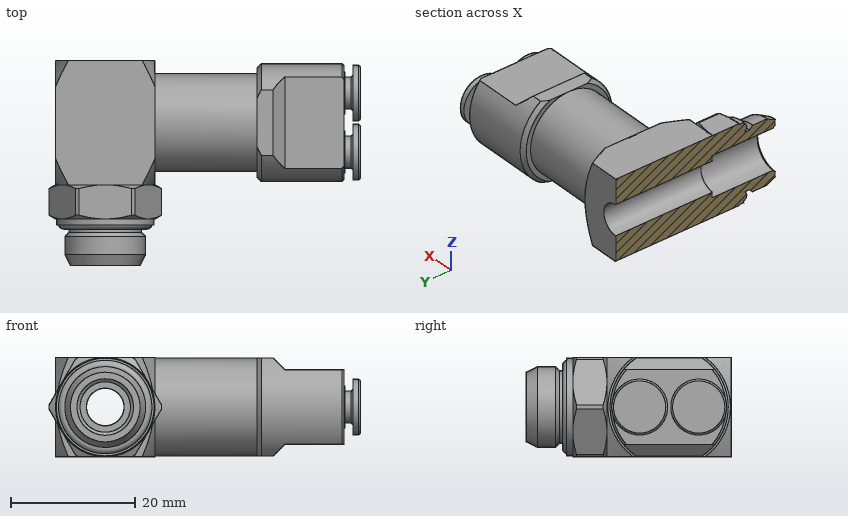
import cadquery as cq
import math


BLOCK_WIDTH = 16.0
BLOCK_LENGTH = 20.0
BLOCK_FACE_RADIUS = 9.85
BLOCK_CONE_ANGLE = 35.0

HEX_ACROSS_FLATS = 16.0
HEX_LENGTH = 5.5
HEX_CORNER_RADIUS = 9.05
HEX_CHAMFER_ANGLE = 30.0

COLLAR_RADIUS = 7.85
COLLAR_LENGTH = 1.0
SEAL_SECTION_RADIUS = 0.9
SEAL_CENTRE_RADIUS = 6.65
SEAL_PROTRUSION = 0.65

NECK_RADIUS = 5.85
NECK_LENGTH = 1.15
THREAD_RADIUS = 6.5
THREAD_RUN_OUT = THREAD_RADIUS - NECK_RADIUS
THREAD_LENGTH = 2.9
TIP_RADIUS = 5.6
TIP_LENGTH = 1.8

BORE_RADIUS = 3.0
COUNTERBORE_RADIUS = 4.05
MOUTH_CHAMFER = 0.5

TUBE_RADIUS = 7.9
TUBE_LENGTH = 16.4

HEAD_RADIUS = 9.5
HEAD_LENGTH = 14.0
HEAD_FRONT_CHAMFER = 0.7
HEAD_END_CHAMFER = 0.35
HEAD_BASE_HALF_HEIGHT = TUBE_RADIUS
HEAD_PORT_HALF_HEIGHT = 6.0
HEAD_BASE_LENGTH = 2.6

PORT_PITCH = 9.5
SEAT_RADIUS = 3.4
SEAT_LENGTH = 0.15
SLEEVE_RADIUS = 2.6
SLEEVE_FLARE = 0.25
FLANGE_RADIUS = 4.5
FLANGE_GAP = 1.4
FLANGE_LENGTH = 1.25
FLANGE_CHAMFER = 0.3

HEX_START = -BLOCK_LENGTH / 2
HEX_END = HEX_START - HEX_LENGTH
COLLAR_END = HEX_END - COLLAR_LENGTH
NECK_END = COLLAR_END - NECK_LENGTH
THREAD_START = NECK_END - THREAD_RUN_OUT
THREAD_END = THREAD_START - THREAD_LENGTH
TIP_END = THREAD_END - TIP_LENGTH
BLOCK_END = BLOCK_WIDTH / 2
HEAD_START = BLOCK_END + TUBE_LENGTH
HEAD_END = HEAD_START + HEAD_LENGTH


def revolve_about_y(points):
    """Revolve a closed outline of (radius, y) points about the Y axis."""
    return cq.Workplane("XY").polyline(points).close().revolve(360, (0, 0), (0, 1))


def revolve_about_x(points):
    """Revolve a closed outline of (x, radius) points about the X axis."""
    return cq.Workplane("XY").polyline(points).close().revolve(360, (0, 0), (1, 0))


def make_block():
    """Rectangular block whose eight corners are turned off by a cone at each X end."""
    block = cq.Workplane("XY").box(BLOCK_WIDTH, BLOCK_LENGTH, BLOCK_WIDTH)
    cone_rise = BLOCK_END * math.tan(math.radians(90 - BLOCK_CONE_ANGLE))
    turned = revolve_about_x([
        (-BLOCK_END, 0),
        (-BLOCK_END, BLOCK_FACE_RADIUS),
        (0, BLOCK_FACE_RADIUS + cone_rise),
        (BLOCK_END, BLOCK_FACE_RADIUS),
        (BLOCK_END, 0),
    ])
    return block.intersect(turned)


def make_hex():
    """Hexagon with flats facing +Z and -Z, turned corners and both ends chamfered."""
    flat_radius = HEX_ACROSS_FLATS / 2
    corner_diameter = HEX_ACROSS_FLATS / math.cos(math.radians(30))
    hexagon = (
        cq.Workplane("XZ", origin=(0, HEX_START, 0))
        .polygon(6, corner_diameter)
        .extrude(HEX_LENGTH)
    )
    chamfer = (HEX_CORNER_RADIUS - flat_radius) * math.tan(math.radians(HEX_CHAMFER_ANGLE))
    turned = revolve_about_y([
        (0, HEX_START),
        (flat_radius, HEX_START),
        (HEX_CORNER_RADIUS, HEX_START - chamfer),
        (HEX_CORNER_RADIUS, HEX_END + chamfer),
        (flat_radius, HEX_END),
        (0, HEX_END),
    ])
    return hexagon.intersect(turned)


def make_spigot():
    """Collar, neck and plain thread cylinder with a tapered tip."""
    return revolve_about_y([
        (0, HEX_END),
        (COLLAR_RADIUS, HEX_END),
        (COLLAR_RADIUS, COLLAR_END),
        (NECK_RADIUS, COLLAR_END),
        (NECK_RADIUS, NECK_END),
        (THREAD_RADIUS, THREAD_START),
        (THREAD_RADIUS, THREAD_END),
        (TIP_RADIUS, TIP_END),
        (0, TIP_END),
    ])


def make_seal():
    """O-ring partly sunk into the collar face."""
    seal_centre_y = COLLAR_END - SEAL_PROTRUSION + SEAL_SECTION_RADIUS
    return (
        cq.Workplane("XY")
        .center(SEAL_CENTRE_RADIUS, seal_centre_y)
        .circle(SEAL_SECTION_RADIUS)
        .revolve(360, (-SEAL_CENTRE_RADIUS, 0), (-SEAL_CENTRE_RADIUS, 1))
    )


def make_bore():
    """Bore open at both Y ends, widened through the spigot and hexagon."""
    return revolve_about_y([
        (0, BLOCK_LENGTH / 2),
        (BORE_RADIUS, BLOCK_LENGTH / 2),
        (BORE_RADIUS, HEX_START),
        (COUNTERBORE_RADIUS, HEX_START),
        (COUNTERBORE_RADIUS, TIP_END + MOUTH_CHAMFER),
        (COUNTERBORE_RADIUS + MOUTH_CHAMFER, TIP_END),
        (0, TIP_END),
    ])


def make_tube():
    """Round tube that joins block and head."""
    return revolve_about_x([
        (BLOCK_END, 0),
        (BLOCK_END, TUBE_RADIUS),
        (HEAD_START, TUBE_RADIUS),
        (HEAD_START, 0),
    ])


def make_head():
    """Round head flattened above and below, stepping down at 45 degrees to the ports."""
    turned = revolve_about_x([
        (HEAD_START, 0),
        (HEAD_START, HEAD_RADIUS - HEAD_FRONT_CHAMFER),
        (HEAD_START + HEAD_FRONT_CHAMFER, HEAD_RADIUS),
        (HEAD_END - HEAD_END_CHAMFER, HEAD_RADIUS),
        (HEAD_END, HEAD_RADIUS - HEAD_END_CHAMFER),
        (HEAD_END, 0),
    ])
    slope_start = HEAD_START + HEAD_BASE_LENGTH
    slope_end = slope_start + HEAD_BASE_HALF_HEIGHT - HEAD_PORT_HALF_HEIGHT
    upper_side = [
        (HEAD_START, HEAD_BASE_HALF_HEIGHT),
        (slope_start, HEAD_BASE_HALF_HEIGHT),
        (slope_end, HEAD_PORT_HALF_HEIGHT),
        (HEAD_END, HEAD_PORT_HALF_HEIGHT),
    ]
    lower_side = [(x, -z) for x, z in reversed(upper_side)]
    side_outline = (
        cq.Workplane("XZ")
        .polyline(upper_side + lower_side)
        .close()
        .extrude(HEAD_RADIUS, both=True)
    )
    return turned.intersect(side_outline)


def make_release_sleeve(port_y):
    """Seat, sleeve and flange of one push-in port."""
    seat_end = HEAD_END + SEAT_LENGTH
    flange_start = HEAD_END + FLANGE_GAP
    flange_end = flange_start + FLANGE_LENGTH
    sleeve = revolve_about_x([
        (HEAD_END, 0),
        (HEAD_END, SEAT_RADIUS),
        (seat_end, SEAT_RADIUS),
        (seat_end, SLEEVE_RADIUS),
        (flange_start - SLEEVE_FLARE, SLEEVE_RADIUS),
        (flange_start, SLEEVE_RADIUS + SLEEVE_FLARE),
        (flange_start, FLANGE_RADIUS),
        (flange_end - FLANGE_CHAMFER, FLANGE_RADIUS),
        (flange_end, FLANGE_RADIUS - FLANGE_CHAMFER),
        (flange_end, 0),
    ])
    return sleeve.translate((0, port_y, 0))


result = make_block()
for section in (make_hex(), make_spigot(), make_seal(), make_tube(), make_head()):
    result = result.union(section)
for port_y in (-PORT_PITCH / 2, PORT_PITCH / 2):
    result = result.union(make_release_sleeve(port_y))
result = result.cut(make_bore())